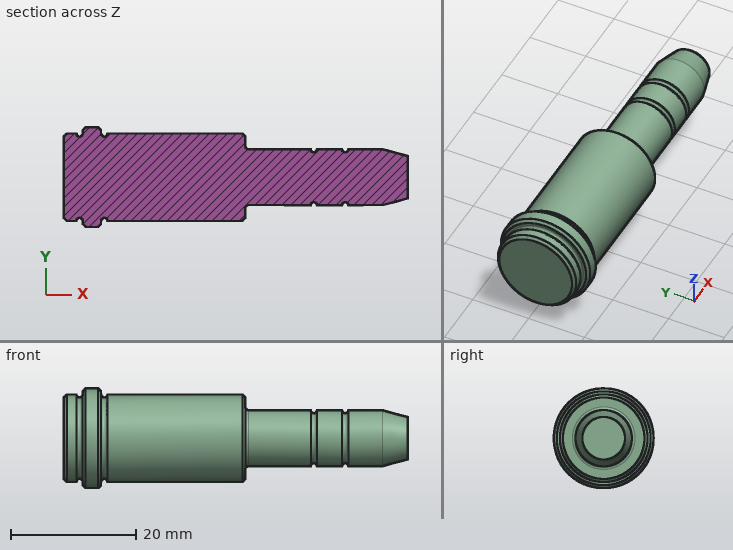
import cadquery as cq

total_length = 55.0
body_diameter = 14.0
body_length = 29.05
shaft_diameter = 9.0

collar_diameter = 16.0
collar_start = 3.0
collar_end = 6.0

edge_chamfer = 0.5
root_fillet = 0.5

groove_radius = 0.5
body_groove_centers = (collar_start - groove_radius, collar_end + groove_radius)
shaft_groove_centers = (40.0, 45.0)

tip_length = 4.05
tip_diameter = 6.8


def cylinder(start, end, diameter):
    """Round bar on the X axis between two X positions."""
    return cq.Workplane("YZ", origin=(start, 0, 0)).circle(diameter / 2).extrude(end - start)


def chamfered_cylinder(start, end, diameter):
    """Round bar with both end rims chamfered."""
    return cylinder(start, end, diameter).edges("%CIRCLE").chamfer(edge_chamfer)


def groove_ring(center, diameter):
    """Cutting ring for a half-round groove in a surface of the given diameter."""
    return cq.Workplane(cq.Solid.makeTorus(
        diameter / 2, groove_radius, cq.Vector(center, 0, 0), cq.Vector(1, 0, 0)
    ))


def tapered_shaft():
    """Shaft with a conical tip and a filleted root against the body."""
    shaft_radius = shaft_diameter / 2
    profile = (
        cq.Workplane("XY")
        .moveTo(body_length, 0)
        .lineTo(body_length, shaft_radius + root_fillet)
        .radiusArc((body_length + root_fillet, shaft_radius), -root_fillet)
        .lineTo(total_length - tip_length, shaft_radius)
        .lineTo(total_length, tip_diameter / 2)
        .lineTo(total_length, 0)
        .close()
    )
    return profile.revolve(360, (0, 0, 0), (1, 0, 0))


body = chamfered_cylinder(0, body_length, body_diameter)
for groove_center in body_groove_centers:
    body = body.cut(groove_ring(groove_center, body_diameter))

shaft = tapered_shaft()
for groove_center in shaft_groove_centers:
    shaft = shaft.cut(groove_ring(groove_center, shaft_diameter))

collar = chamfered_cylinder(collar_start, collar_end, collar_diameter)
result = body.union(collar).union(shaft)